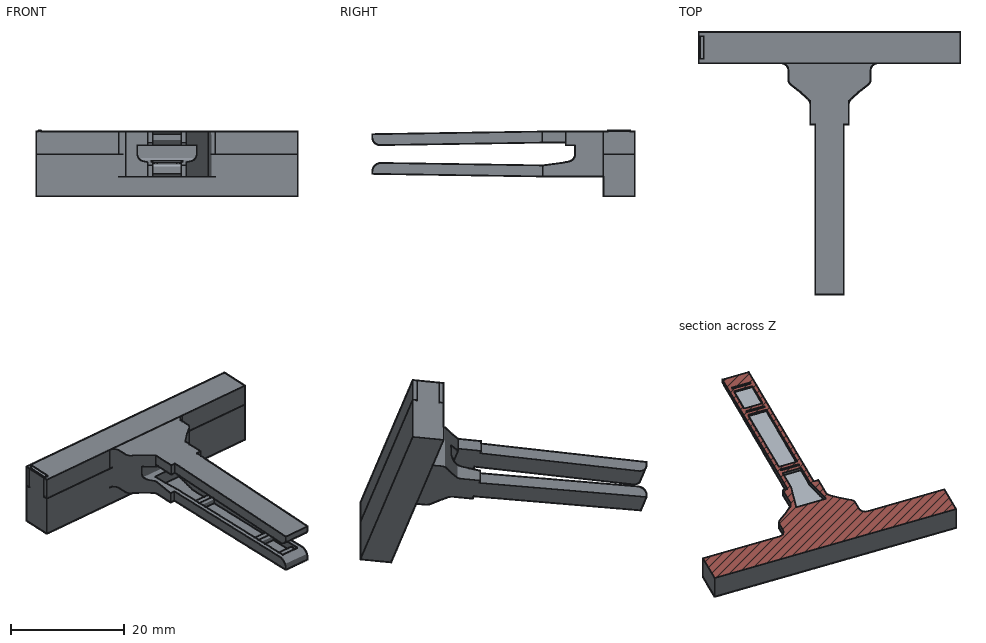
import cadquery as cq
import math

BLOCK_LENGTH = 46.0
BLOCK_DEPTH = 5.55
BLOCK_HEIGHT = 11.4
SEAM_Z = 7.45

LATCH_WIDTH = 3.95
LATCH_THICKNESS = 0.92
LATCH_BUMP_START = 0.3
TOTAL_HEIGHT = 11.65

NECK_BOTTOM_Z = 3.45
NECK_HALF_WIDTH = 7.25
NECK_STRAIGHT = 3.4
NECK_FILLET = 1.2
JAW_HALF_WIDTH = 3.4
JAW_START = 6.6
ARM_HALF_WIDTH = 2.55
UPPER_ARM_START = 10.75
LOWER_ARM_START = 10.62
TOTAL_DEPTH = 46.2
REACH = TOTAL_DEPTH - BLOCK_DEPTH

THROAT = 5.0
THROAT_HALF_WIDTH = 5.2
LEDGE_THICKNESS = 2.45
ARM_THICKNESS = 2.0
ARM_TILT = 0.45
ROOT_THICKNESS = 2.85
ROOT_END = 7.2
ROOT_END_THICKNESS = 2.45
ROOT_FILLET = 1.3
UPPER_TIP_FILLET = 1.4
LOWER_TIP_FILLET = 1.55

TROUGH_START = 5.75
TROUGH_TAPER_END = LOWER_ARM_START
TROUGH_END = 38.85
TROUGH_START_HALF_WIDTH = 2.75
TROUGH_HALF_WIDTH = 1.7
TROUGH_FLOOR = 0.45
RIB_WIDTH = 0.85
RIB_HEIGHT = 1.0
RIB_PITCH = 1.0
RIB_PAIR_STARTS = [14.55, 30.55, 37.0]


def box(x_min, x_max, y_min, y_max, z_min, z_max):
    size = (x_max - x_min, y_max - y_min, z_max - z_min)
    return cq.Workplane("XY").box(*size, centered=False).translate((x_min, y_min, z_min))


def side_extrusion(points, half_width):
    """Extrude an outline of (distance in front of the block, Z) points across X."""
    outline = cq.Workplane("YZ").polyline([(-forward, z) for forward, z in points]).close()
    return outline.extrude(half_width, both=True)


def fillet_along_x(body, forward, z, radius):
    """Round the edge along X that passes through the given point."""
    return body.edges(cq.selectors.NearestToPointSelector((0, -forward, z))).fillet(radius)


def clamp_plan(arm_start, round_jaw_corner):
    """Column with the outline of the neck, jaw and arm as seen from above."""
    bend = NECK_FILLET * (1 - math.sqrt(0.5))
    flare = NECK_HALF_WIDTH + NECK_FILLET
    column = (
        cq.Workplane("XY")
        .moveTo(-flare, 0)
        .threePointArc((-NECK_HALF_WIDTH - bend, -bend), (-NECK_HALF_WIDTH, -NECK_FILLET))
        .lineTo(-NECK_HALF_WIDTH, -NECK_STRAIGHT)
        .lineTo(-THROAT_HALF_WIDTH, -THROAT)
        .lineTo(-JAW_HALF_WIDTH, -JAW_START)
        .lineTo(-JAW_HALF_WIDTH, -arm_start)
        .lineTo(-ARM_HALF_WIDTH, -arm_start)
        .lineTo(-ARM_HALF_WIDTH, -REACH)
        .lineTo(0, -REACH)
        .lineTo(0, 0)
        .close()
        .extrude(BLOCK_HEIGHT)
    )
    corners = [(-NECK_HALF_WIDTH, -NECK_STRAIGHT)]
    if round_jaw_corner:
        corners.append((-JAW_HALF_WIDTH, -JAW_START))
    for x, y in corners:
        corner = cq.selectors.NearestToPointSelector((x, y, BLOCK_HEIGHT / 2))
        column = column.edges(corner).fillet(NECK_FILLET)
    return column.union(column.mirror("YZ"))


def upper_jaw():
    top = BLOCK_HEIGHT
    underside = top - ARM_THICKNESS
    ledge = top - LEDGE_THICKNESS
    profile = side_extrusion(
        [
            (0, SEAM_Z),
            (0, top),
            (UPPER_ARM_START, top),
            (REACH, top - ARM_TILT),
            (REACH, underside - ARM_TILT),
            (UPPER_ARM_START, underside),
            (JAW_START, underside),
            (JAW_START, ledge),
            (THROAT, ledge),
            (THROAT, SEAM_Z),
        ],
        BLOCK_LENGTH / 2,
    )
    profile = fillet_along_x(profile, REACH, underside - ARM_TILT, UPPER_TIP_FILLET)
    return profile.intersect(clamp_plan(UPPER_ARM_START, False))


def lower_jaw():
    bottom = NECK_BOTTOM_Z
    arm_top = bottom + ARM_THICKNESS
    profile = side_extrusion(
        [
            (0, bottom),
            (0, SEAM_Z),
            (THROAT, SEAM_Z),
            (THROAT, bottom + ROOT_THICKNESS),
            (ROOT_END, bottom + ROOT_END_THICKNESS),
            (LOWER_ARM_START, arm_top),
            (REACH, arm_top + ARM_TILT),
            (REACH, bottom + ARM_TILT),
            (LOWER_ARM_START, bottom),
        ],
        BLOCK_LENGTH / 2,
    )
    profile = fillet_along_x(profile, THROAT, bottom + ROOT_THICKNESS, ROOT_FILLET)
    profile = fillet_along_x(profile, REACH, arm_top + ARM_TILT, LOWER_TIP_FILLET)
    return profile.intersect(clamp_plan(LOWER_ARM_START, True))


def trough_floor(forward):
    """Height of the trough floor at a distance in front of the block."""
    slope = ARM_TILT / (REACH - LOWER_ARM_START)
    return NECK_BOTTOM_Z + TROUGH_FLOOR + slope * (forward - LOWER_ARM_START)


def trough():
    """Space cut from the lower arm; its floor follows the tilted underside of the arm."""
    outline = [
        (-TROUGH_START_HALF_WIDTH, -TROUGH_START),
        (-TROUGH_HALF_WIDTH, -TROUGH_TAPER_END),
        (-TROUGH_HALF_WIDTH, -TROUGH_END),
        (TROUGH_HALF_WIDTH, -TROUGH_END),
        (TROUGH_HALF_WIDTH, -TROUGH_TAPER_END),
        (TROUGH_START_HALF_WIDTH, -TROUGH_START),
    ]
    depth_profile = side_extrusion(
        [
            (0, SEAM_Z),
            (0, trough_floor(0)),
            (REACH, trough_floor(REACH)),
            (REACH, SEAM_Z),
        ],
        TROUGH_START_HALF_WIDTH,
    )
    return cq.Workplane("XY").polyline(outline).close().extrude(SEAM_Z).intersect(depth_profile)


def rib(forward):
    """Round-topped rib across the trough, its back face at the given distance."""
    end = forward + RIB_WIDTH
    middle = forward + RIB_WIDTH / 2
    top = trough_floor(middle) + RIB_HEIGHT
    shoulder = top - RIB_WIDTH / 2
    return (
        cq.Workplane("YZ")
        .moveTo(-forward, NECK_BOTTOM_Z)
        .lineTo(-forward, shoulder)
        .threePointArc((-middle, top), (-end, shoulder))
        .lineTo(-end, NECK_BOTTOM_Z)
        .close()
        .extrude(TROUGH_HALF_WIDTH, both=True)
    )


def latch():
    """Tongue at the -X end, with a rounded bump along its top."""
    left = -BLOCK_LENGTH / 2
    bump_start = left + LATCH_BUMP_START
    bump_end = left + LATCH_THICKNESS
    outline = (
        cq.Workplane("XZ", origin=(0, (BLOCK_DEPTH - LATCH_WIDTH) / 2, 0))
        .moveTo(left, SEAM_Z)
        .lineTo(left, BLOCK_HEIGHT)
        .lineTo(bump_start, BLOCK_HEIGHT)
        .threePointArc(((bump_start + bump_end) / 2, TOTAL_HEIGHT), (bump_end, BLOCK_HEIGHT))
        .lineTo(bump_end, SEAM_Z)
        .close()
    )
    return outline.extrude(-LATCH_WIDTH)


def make_base():
    base = box(-BLOCK_LENGTH / 2, BLOCK_LENGTH / 2, 0, BLOCK_DEPTH, 0, SEAM_Z)
    trough_space = trough()
    jaw = lower_jaw().cut(trough_space)
    for pair_start in RIB_PAIR_STARTS:
        for forward in (pair_start, pair_start + RIB_PITCH):
            jaw = jaw.union(rib(forward).intersect(trough_space))
    return base.union(jaw).union(upper_jaw()).union(latch())


def make_cover():
    cover = box(-BLOCK_LENGTH / 2, BLOCK_LENGTH / 2, 0, BLOCK_DEPTH, SEAM_Z, BLOCK_HEIGHT)
    return cover.cut(latch())


base = make_base()
cover = make_cover()
result = cq.Compound.makeCompound([base.val(), cover.val()])